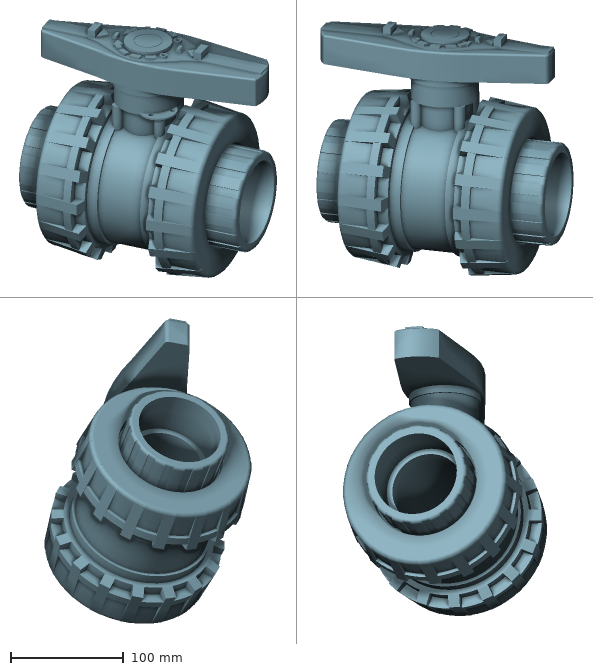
import cadquery as cq
import math

OVERALL_LENGTH = 220.5
OVERALL_HEIGHT = 221.45
OVERLAP = 1.0

BORE_D = 65.0

BODY_D = 122.7
BODY_HALF = 20.8
FLANGE_D = 128.1
FLANGE_END = 30.7
THREAD_D = 112.5
THREAD_END = 50.0
COLUMN_D = 50.0
POST_D = 10.0
POST_OFFSET = 20.2
COLUMN_TOP = 80.3

PIPE_END = 105.5
PIPE_D = 92.0
PIPE_RIB_HEIGHT = 1.0
PIPE_RIB_WIDTH = 10.2
PIPE_END_FILLET = 3.2
SOCKET_D = 75.0
SOCKET_DEPTH = 44.0
CONNECTOR_COLLAR_END = 66.0

RIB_COUNT = 16
NUT_END = 76.7
NUT_D = 149.0
NUT_FILLET = 4.0
NUT_HOLE_D = 96.0
NUT_HOLE_CHAMFER = 0.5
NUT_BAND_DROP = 0.25
NUT_BAND_START = 40.3
NUT_BAND_END = 47.8
NUT_PAD_D = 138.0
NUT_RIB_WIDTH = 10.2
NUT_RIB_TOP = 79.455
NUT_RIB_LOW_TOP = 74.6
NUT_RIB_HIGH_X = 33.7
NUT_RIB_LOW_X = NUT_END - NUT_FILLET

SKIRT_D = 60.54
SKIRT_TOP = 99.7
COLLAR_D = 64.0
EAR_D = 35.0
EAR_OFFSET = 17.0
EAR_THICKNESS = 1.6
EAR_HOLE_D = 4.5
EAR_HOLE_RADIUS = 32.7
EAR_HOLE_ANGLES = (-24.5, -61.5)

HANDLE_BOTTOM = 106.3
HANDLE_TOP = 133.3
SPINE_TOP = 134.9
HANDLE_TOP_FILLET = 2.0
HANDLE_LEFT = -99.8
HANDLE_RIGHT = OVERALL_LENGTH - PIPE_END
LEFT_HALF_WIDTH = 10.9
LEFT_CORNER_FILLET = 4.0
FRONT_CORNER_FILLET = 2.0
SIDE_BREAK = 40.0
LEFT_BREAK_Y = 25.4
RIGHT_BREAK_Y = 31.3
BULGE_X = 14.0
BULGE_Y = 34.0
BULGE_SHIFT = 0.9
BACK_CORNER = (106.0, 21.5)
FRONT_CORNER = (112.2, -18.0)
TIP_Y = -2.0

SPINE_LEFT = -99.0
SPINE_RIGHT = 113.2
SPINE_HALF_WIDTH = 8.0
SPINE_BULGE = 31.2
SPINE_FLARE = 62.0
SPINE_STEPS = 16

BLOCK_INNER = 47.9
BLOCK_LENGTH = 7.0
BLOCK_WIDTH = 16.4
BLOCK_TOP = OVERALL_HEIGHT - NUT_RIB_TOP
MARK_TOP = 137.2
TRIANGLE_BASE = 46.4
TRIANGLE_TIP = 38.0
STOP_INNER = 29.0
STOP_OUTER = 34.2
STOP_SLOPE = 2.0
STOP_WIDTH = 7.4
SEGMENT_ANGLES = (35, 61, 90, 119, 146)
SEGMENT_RADIUS = 26.9
SEGMENT_LENGTH = 9.4
SEGMENT_WIDTH = 5.0
ARROW_X = -26.8
ARROW_INNER_Y = 6.0
ARROW_OUTER_Y = 16.5
ARROW_TIP_X = -19.6
ARROW_TIP_Y = 10.5
RING_D = 7.2
RING_HOLE_D = 4.5

CAP_D = 43.0
CAP_TOP = 138.9
CAP_BOTTOM = 131.0
CAP_GROOVE_OUTER_D = 26.1
CAP_GROOVE_INNER_D = 24.0
CAP_GROOVE_DEPTH = 0.5


def x_cylinder(diameter, start, end):
    """Cylinder along the flow axis from X = start to X = end."""
    return cq.Workplane("YZ", origin=(start, 0, 0)).circle(diameter / 2).extrude(end - start)


def z_cylinder(diameter, bottom, top, x=0, y=0):
    """Upright cylinder centred on (x, y)."""
    return cq.Workplane("XY", origin=(x, y, bottom)).circle(diameter / 2).extrude(top - bottom)


def z_block(length, width, bottom, top, x=0, y=0):
    """Upright box centred on (x, y)."""
    return cq.Workplane("XY", origin=(x, y, bottom)).rect(length, width).extrude(top - bottom)


def about_x(shape, angle):
    return shape.rotate((0, 0, 0), (1, 0, 0), angle)


def about_z(shape, angle):
    return shape.rotate((0, 0, 0), (0, 0, 1), angle)


def make_housing():
    body = x_cylinder(THREAD_D, -THREAD_END, THREAD_END)
    body = body.union(x_cylinder(FLANGE_D, -FLANGE_END, FLANGE_END))
    waist = x_cylinder(FLANGE_D + OVERLAP, -BODY_HALF, BODY_HALF)
    body = body.cut(waist.cut(x_cylinder(BODY_D, -BODY_HALF, BODY_HALF)))
    body = body.union(z_cylinder(COLUMN_D, 0, COLUMN_TOP))
    for x in (-POST_OFFSET, POST_OFFSET):
        for y in (-POST_OFFSET, POST_OFFSET):
            body = body.union(z_cylinder(POST_D, 0, COLUMN_TOP, x, y))
    return body.cut(x_cylinder(BORE_D, -THREAD_END, THREAD_END))


def make_end_connector():
    """End connector on the +X side."""
    pipe = x_cylinder(PIPE_D, THREAD_END, PIPE_END).faces(">X").edges().fillet(PIPE_END_FILLET)

    core = x_cylinder(PIPE_D - 2 * PIPE_RIB_HEIGHT, THREAD_END, PIPE_END)
    core = core.faces(">X").edges().fillet(PIPE_END_FILLET - PIPE_RIB_HEIGHT)
    length = PIPE_END - THREAD_END
    ribs = core
    for i in range(RIB_COUNT // 2):
        slab = cq.Workplane("XY").box(length, PIPE_RIB_WIDTH, PIPE_D)
        slab = slab.translate((THREAD_END + length / 2, 0, 0))
        ribs = ribs.union(about_x(slab, i * 360 / RIB_COUNT))
    pipe = pipe.intersect(ribs)

    pipe = pipe.union(x_cylinder(THREAD_D, THREAD_END, CONNECTOR_COLLAR_END))
    pipe = pipe.cut(x_cylinder(BORE_D, THREAD_END, PIPE_END))
    return pipe.cut(x_cylinder(SOCKET_D, PIPE_END - SOCKET_DEPTH, PIPE_END))


def rib_top(x):
    """Height of the sloping nut rib tops at a place along the flow axis."""
    slope = (NUT_RIB_LOW_TOP - NUT_RIB_TOP) / (NUT_RIB_LOW_X - NUT_RIB_HIGH_X)
    return NUT_RIB_TOP + slope * (x - NUT_RIB_HIGH_X)


def make_nut():
    """Union nut on the +X side."""
    nut = x_cylinder(NUT_D, NUT_BAND_START, NUT_END).faces(">X").edges().fillet(NUT_FILLET)
    nut = nut.union(x_cylinder(NUT_PAD_D, FLANGE_END, NUT_RIB_LOW_X))

    band = [
        (NUT_BAND_START, 0),
        (NUT_BAND_START, rib_top(NUT_BAND_START) - NUT_BAND_DROP),
        (NUT_BAND_END, rib_top(NUT_BAND_END) - NUT_BAND_DROP),
        (NUT_BAND_END, 0),
    ]
    nut = nut.union(cq.Workplane("XZ").polyline(band).close().revolve(360, (0, 0), (1, 0)))

    root = NUT_PAD_D / 2 - OVERLAP
    face_top = NUT_RIB_LOW_TOP - NUT_FILLET
    bend = NUT_FILLET * math.sqrt(0.5)
    rib = (
        cq.Workplane("XZ")
        .moveTo(FLANGE_END, root)
        .lineTo(FLANGE_END, NUT_PAD_D / 2)
        .lineTo(NUT_RIB_HIGH_X, NUT_RIB_TOP)
        .lineTo(NUT_RIB_LOW_X, NUT_RIB_LOW_TOP)
        .threePointArc((NUT_RIB_LOW_X + bend, face_top + bend), (NUT_END, face_top))
        .lineTo(NUT_END, root)
        .close()
        .extrude(NUT_RIB_WIDTH / 2, both=True)
    )
    for i in range(RIB_COUNT):
        nut = nut.union(about_x(rib, i * 360 / RIB_COUNT))

    nut = nut.cut(x_cylinder(THREAD_D, FLANGE_END, CONNECTOR_COLLAR_END))
    nut = nut.cut(x_cylinder(NUT_HOLE_D, FLANGE_END, NUT_END))
    hole_edge = cq.selectors.RadiusNthSelector(0)
    return nut.faces(">X").edges(hole_edge).chamfer(NUT_HOLE_CHAMFER)


def make_stem_collar():
    collar = z_cylinder(SKIRT_D, COLUMN_TOP, SKIRT_TOP)
    collar = collar.union(z_cylinder(COLLAR_D, SKIRT_TOP, HANDLE_BOTTOM))
    ear_top = COLUMN_TOP + EAR_THICKNESS
    collar = collar.union(z_cylinder(EAR_D, COLUMN_TOP, ear_top, EAR_OFFSET, -EAR_OFFSET))
    for angle in EAR_HOLE_ANGLES:
        x = EAR_HOLE_RADIUS * math.cos(math.radians(angle))
        y = EAR_HOLE_RADIUS * math.sin(math.radians(angle))
        collar = collar.cut(z_cylinder(EAR_HOLE_D, COLUMN_TOP, ear_top, x, y))
    return collar


def make_lever():
    """Boat-shaped grip with rounded upper edges."""
    lever = (
        cq.Workplane("XY", origin=(0, 0, HANDLE_BOTTOM))
        .moveTo(HANDLE_LEFT, -LEFT_HALF_WIDTH)
        .lineTo(-SIDE_BREAK, BULGE_SHIFT - LEFT_BREAK_Y)
        .threePointArc((BULGE_X, BULGE_SHIFT - BULGE_Y), (SIDE_BREAK, BULGE_SHIFT - RIGHT_BREAK_Y))
        .lineTo(*FRONT_CORNER)
        .threePointArc((HANDLE_RIGHT, TIP_Y), BACK_CORNER)
        .lineTo(SIDE_BREAK, BULGE_SHIFT + RIGHT_BREAK_Y)
        .threePointArc((BULGE_X, BULGE_SHIFT + BULGE_Y), (-SIDE_BREAK, BULGE_SHIFT + LEFT_BREAK_Y))
        .lineTo(HANDLE_LEFT, LEFT_HALF_WIDTH)
        .close()
        .extrude(HANDLE_TOP - HANDLE_BOTTOM)
    )
    lever = lever.edges("|Z and <X").fillet(LEFT_CORNER_FILLET)
    front_corner = cq.selectors.NearestToPointSelector((*FRONT_CORNER, (HANDLE_BOTTOM + HANDLE_TOP) / 2))
    lever = lever.edges(front_corner).fillet(FRONT_CORNER_FILLET)
    return lever.faces(">Z").edges().fillet(HANDLE_TOP_FILLET)


def make_spine():
    """Raised strip along the lever, flared in a cosine bell around the stem axis."""
    rise = (SPINE_BULGE - SPINE_HALF_WIDTH) / 2
    flare = []
    for i in range(SPINE_STEPS + 1):
        x = SPINE_FLARE * (2 * i / SPINE_STEPS - 1)
        flare.append((x, SPINE_HALF_WIDTH + rise * (1 + math.cos(math.pi * x / SPINE_FLARE))))
    mirrored = [(x, -y) for x, y in reversed(flare)]
    level = [(1, 0), (1, 0)]
    level_back = [(-1, 0), (-1, 0)]
    bottom = HANDLE_TOP - HANDLE_TOP_FILLET
    return (
        cq.Workplane("XY", origin=(0, 0, bottom))
        .moveTo(SPINE_LEFT, SPINE_HALF_WIDTH)
        .lineTo(*flare[0])
        .spline(flare[1:], tangents=level, includeCurrent=True)
        .lineTo(SPINE_RIGHT, SPINE_HALF_WIDTH)
        .lineTo(SPINE_RIGHT, -SPINE_HALF_WIDTH)
        .lineTo(*mirrored[0])
        .spline(mirrored[1:], tangents=level_back, includeCurrent=True)
        .lineTo(SPINE_LEFT, -SPINE_HALF_WIDTH)
        .close()
        .extrude(SPINE_TOP - bottom)
    )


def make_arm_marks():
    """Block, triangle and sloped stop on the +X arm of the spine."""
    base = SPINE_TOP - OVERLAP
    block_x = BLOCK_INNER + BLOCK_LENGTH / 2
    marks = z_block(BLOCK_LENGTH, BLOCK_WIDTH, base, BLOCK_TOP, block_x)
    triangle = [(TRIANGLE_TIP, 0), (TRIANGLE_BASE, BLOCK_WIDTH / 2), (TRIANGLE_BASE, -BLOCK_WIDTH / 2)]
    flat = cq.Workplane("XY", origin=(0, 0, base)).polyline(triangle).close()
    marks = marks.add(flat.extrude(MARK_TOP - base))
    stop = [
        (STOP_INNER, base),
        (STOP_INNER, CAP_TOP),
        (STOP_OUTER - STOP_SLOPE, CAP_TOP),
        (STOP_OUTER, SPINE_TOP),
        (STOP_OUTER, base),
    ]
    side = cq.Workplane("XZ").polyline(stop).close()
    return marks.add(side.extrude(STOP_WIDTH / 2, both=True))


def make_dial_marks():
    """Raised dashes, arrowheads and rings around the cap."""
    base = HANDLE_TOP - OVERLAP
    dash = z_block(SEGMENT_WIDTH, SEGMENT_LENGTH, base, MARK_TOP, SEGMENT_RADIUS)
    ring = z_cylinder(RING_D, base, MARK_TOP, SEGMENT_RADIUS)
    ring = ring.cut(z_cylinder(RING_HOLE_D, base, MARK_TOP, SEGMENT_RADIUS))
    marks = cq.Workplane("XY")
    for side in (-1, 1):
        marks = marks.add(about_z(ring, side * SEGMENT_ANGLES[0]))
        for angle in SEGMENT_ANGLES[1:]:
            marks = marks.add(about_z(dash, side * angle))
        arrow = [
            (ARROW_X, side * ARROW_INNER_Y),
            (ARROW_X, side * ARROW_OUTER_Y),
            (ARROW_TIP_X, side * ARROW_TIP_Y),
        ]
        head = cq.Workplane("XY", origin=(0, 0, base)).polyline(arrow).close()
        marks = marks.add(head.extrude(MARK_TOP - base))
    return marks


def make_handle():
    handle = make_lever().union(make_spine())
    arm_marks = make_arm_marks()
    dial_marks = make_dial_marks()
    for mark in arm_marks.vals() + about_z(arm_marks, 180).vals() + dial_marks.vals():
        handle = handle.union(cq.Workplane(mark))
    return handle.cut(z_cylinder(CAP_D, CAP_BOTTOM, CAP_TOP))


def make_cap():
    cap = z_cylinder(CAP_D, CAP_BOTTOM, CAP_TOP)
    groove_bottom = CAP_TOP - CAP_GROOVE_DEPTH
    groove = z_cylinder(CAP_GROOVE_OUTER_D, groove_bottom, CAP_TOP)
    return cap.cut(groove.cut(z_cylinder(CAP_GROOVE_INNER_D, groove_bottom, CAP_TOP)))


housing = make_housing()
connector = make_end_connector()
nut = make_nut()
stem_collar = make_stem_collar()
handle = make_handle()
cap = make_cap()

bodies = [housing.val(), stem_collar.val(), handle.val(), cap.val()]
for turn in (0, 180):
    bodies.append(about_z(connector, turn).val())
    bodies.append(about_z(nut, turn).val())

result = cq.Compound.makeCompound(bodies)